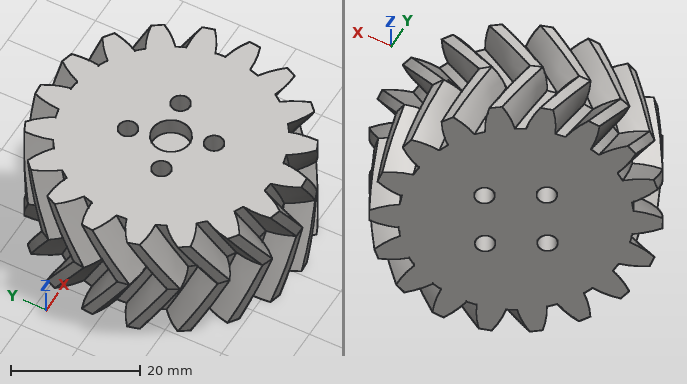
import cadquery as cq
import math

OUTER_DIAMETER = 45.55
GEAR_WIDTH = 20.0
TOOTH_COUNT = 18
HELIX_ANGLE = 30.0
DEDENDUM_FACTOR = 1.25

TIP_HALF_ANGLE = 2.55
PITCH_HALF_ANGLE = 90.0 / TOOTH_COUNT
ROOT_HALF_ANGLE = 7.35

BOLT_COUNT = 4
BOLT_DIAMETER = 3.2
BOLT_CIRCLE_RADIUS = 6.85
BOLT_START_ANGLE = 16.4
RECESS_DIAMETER = 6.5
RECESS_DEPTH = 3.0

tip_radius = OUTER_DIAMETER / 2
normal_module = OUTER_DIAMETER / (TOOTH_COUNT / math.cos(math.radians(HELIX_ANGLE)) + 2)
pitch_radius = tip_radius - normal_module
root_radius = pitch_radius - DEDENDUM_FACTOR * normal_module
half_width = GEAR_WIDTH / 2
tooth_pitch = 360.0 / TOOTH_COUNT
half_twist = math.degrees(half_width * math.tan(math.radians(HELIX_ANGLE)) / pitch_radius)


def polar(radius, angle):
    """Point at a radius and an angle in degrees from +X."""
    return (radius * math.cos(math.radians(angle)), radius * math.sin(math.radians(angle)))


def gear_outline():
    """Closed outline at the middle plane, with a tooth gap centred on +X."""
    first_tooth = tooth_pitch / 2
    outline = cq.Workplane("XY").moveTo(*polar(root_radius, first_tooth - ROOT_HALF_ANGLE))
    for tooth in range(TOOTH_COUNT):
        centre = first_tooth + tooth * tooth_pitch
        gap_centre = centre + tooth_pitch / 2
        next_root = centre + tooth_pitch - ROOT_HALF_ANGLE
        outline = (
            outline
            .threePointArc(polar(pitch_radius, centre - PITCH_HALF_ANGLE),
                           polar(tip_radius, centre - TIP_HALF_ANGLE))
            .threePointArc(polar(tip_radius, centre), polar(tip_radius, centre + TIP_HALF_ANGLE))
            .threePointArc(polar(pitch_radius, centre + PITCH_HALF_ANGLE),
                           polar(root_radius, centre + ROOT_HALF_ANGLE))
            .threePointArc(polar(root_radius, gap_centre), polar(root_radius, next_root))
        )
    return outline.close()


def bolt_holes():
    """Cutters for the bolt holes, through the full width of the gear."""
    return (
        cq.Workplane("XY", origin=(0, 0, -half_width))
        .polarArray(BOLT_CIRCLE_RADIUS, BOLT_START_ANGLE, 360, BOLT_COUNT)
        .circle(BOLT_DIAMETER / 2)
        .extrude(GEAR_WIDTH)
    )


def centre_recess():
    """Cutter for the blind round recess in the top face."""
    return (
        cq.Workplane("XY", origin=(0, 0, half_width - RECESS_DEPTH))
        .circle(RECESS_DIAMETER / 2)
        .extrude(RECESS_DEPTH)
    )


def make_upper_half(helical_blank):
    """Upper helical half: bolt holes and the centre recess."""
    return helical_blank.cut(bolt_holes()).cut(centre_recess())


def make_lower_half(helical_blank):
    """Lower helical half: the mirrored blank with the bolt holes only."""
    return helical_blank.mirror("XY").cut(bolt_holes())


blank = gear_outline().twistExtrude(half_width, -half_twist)
upper_half = make_upper_half(blank)
lower_half = make_lower_half(blank)

result = cq.Compound.makeCompound([upper_half.val(), lower_half.val()])